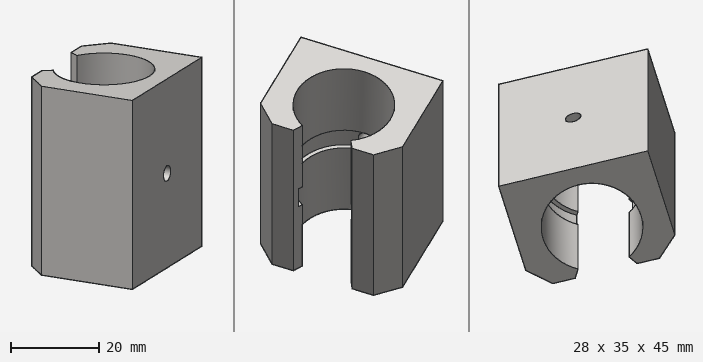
import cadquery as cq
import math

height = 45.0
depth = 28.0
width = 35.0
corner_chamfer = 5.0

bore_diameter = 23.0
bore_to_front = 12.0
mouth_half_width = 7.25
mouth_wall_angle = 30.0

groove_diameter = 25.0
groove_height = 5.65
hole_diameter = 3.6

front_x = -bore_to_front
back_x = front_x + depth


def make_block():
    block = cq.Workplane("XY").box(depth, width, height)
    block = block.translate((front_x + depth / 2, 0, 0))
    return block.edges("|Z and <X").chamfer(corner_chamfer)


def cylinder_along_z(diameter, length):
    return cq.Workplane("XY").circle(diameter / 2).extrude(length / 2, both=True)


def make_mouth():
    """Opening that widens from the bore axis out to the front face."""
    inner_half_width = mouth_half_width - bore_to_front * math.tan(math.radians(mouth_wall_angle))
    corners = [
        (0, inner_half_width),
        (front_x, mouth_half_width),
        (front_x, -mouth_half_width),
        (0, -inner_half_width),
    ]
    return cq.Workplane("XY").polyline(corners).close().extrude(height / 2, both=True)


def make_back_hole():
    """Hole from the bore out through the back face."""
    return cq.Workplane("YZ").circle(hole_diameter / 2).extrude(back_x)


result = (
    make_block()
    .cut(cylinder_along_z(bore_diameter, height))
    .cut(make_mouth())
    .cut(cylinder_along_z(groove_diameter, groove_height))
    .cut(make_back_hole())
)